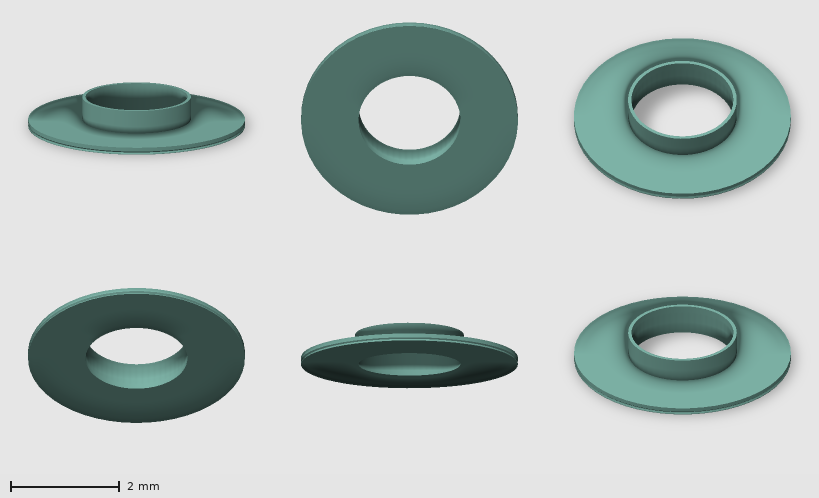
import cadquery as cq

flange_diameter = 3.99
flange_thickness = 0.13
collar_diameter = 2.0
bore_diameter = 1.875
total_height = 0.56

groove_bottom = 0.01
groove_depth = 0.025

flange_radius = flange_diameter / 2
collar_radius = collar_diameter / 2
bore_radius = bore_diameter / 2
groove_root_radius = flange_radius - groove_depth
groove_middle = groove_bottom + groove_depth
groove_top = groove_middle + groove_depth

section = (
    cq.Workplane("XZ")
    .moveTo(bore_radius, 0)
    .lineTo(flange_radius, 0)
    .lineTo(flange_radius, groove_bottom)
    .lineTo(groove_root_radius, groove_middle)
    .lineTo(flange_radius, groove_top)
    .lineTo(flange_radius, flange_thickness)
    .lineTo(collar_radius, flange_thickness)
    .lineTo(collar_radius, total_height)
    .lineTo(bore_radius, total_height)
    .close()
)

result = section.revolve(360, (0, 0, 0), (0, 1, 0))